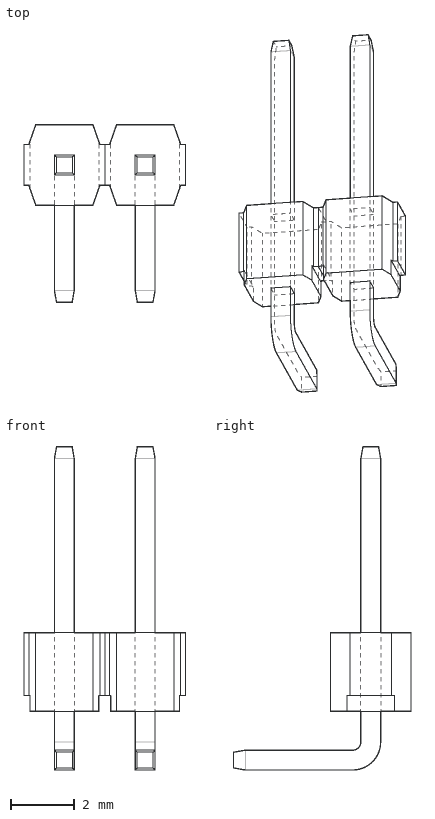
import cadquery as cq

PIN_COUNT = 2
PITCH = 2.54

PIN_WIDTH = 0.63
PIN_TOP = 10.17
PIN_REACH = 4.32
BEND_INNER_RADIUS = 0.25
TIP_LENGTH = 0.38
TIP_WIDTH = 0.5

HOUSING_DEPTH = 2.54
HOUSING_BOTTOM = 1.85
HOUSING_HEIGHT = 2.47
FACE_WIDTH = 1.8
SHOULDER_WIDTH = 2.24
LAND_DEPTH = 1.29
FOOT_WIDTH = 2.17
FOOT_HEIGHT = 0.49

HALF_PIN = PIN_WIDTH / 2
BEND_OUTER_RADIUS = BEND_INNER_RADIUS + PIN_WIDTH


def make_housing(x):
    """Block with sloped corners, side lands stopping above the foot, and a square pin hole."""
    quarter_outline = [
        (FACE_WIDTH / 2, HOUSING_DEPTH / 2),
        (SHOULDER_WIDTH / 2, LAND_DEPTH / 2),
        (PITCH / 2, LAND_DEPTH / 2),
    ]
    right_side = quarter_outline + [(px, -py) for px, py in reversed(quarter_outline)]
    left_side = [(-px, py) for px, py in reversed(right_side)]
    base = cq.Workplane("XY", origin=(x, 0, HOUSING_BOTTOM))
    block = base.polyline(right_side + left_side).close().extrude(HOUSING_HEIGHT)

    foot = base.rect(FOOT_WIDTH, HOUSING_DEPTH).extrude(FOOT_HEIGHT)
    foot_surround = base.rect(PITCH, HOUSING_DEPTH).extrude(FOOT_HEIGHT).cut(foot)
    pin_hole = base.rect(PIN_WIDTH, PIN_WIDTH).extrude(HOUSING_HEIGHT)
    return block.cut(foot_surround).cut(pin_hole)


def make_tip(start_plane):
    """Square taper from the full pin width to the blunt end."""
    start = cq.Workplane(start_plane).rect(PIN_WIDTH, PIN_WIDTH)
    return start.workplane(offset=TIP_LENGTH).rect(TIP_WIDTH, TIP_WIDTH).loft(ruled=True)


def make_pin(x):
    """Square pin with a vertical leg, a rounded bend toward -Y and a tapered tip at each end."""
    upper_tip_start = PIN_TOP - TIP_LENGTH
    lower_tip_start = TIP_LENGTH - PIN_REACH
    bend_end_y = HALF_PIN - BEND_OUTER_RADIUS
    shank = (
        cq.Workplane("YZ", origin=(x, 0, 0))
        .moveTo(HALF_PIN, upper_tip_start)
        .lineTo(HALF_PIN, BEND_OUTER_RADIUS)
        .radiusArc((bend_end_y, 0), BEND_OUTER_RADIUS)
        .lineTo(lower_tip_start, 0)
        .lineTo(lower_tip_start, PIN_WIDTH)
        .lineTo(bend_end_y, PIN_WIDTH)
        .radiusArc((-HALF_PIN, BEND_OUTER_RADIUS), -BEND_INNER_RADIUS)
        .lineTo(-HALF_PIN, upper_tip_start)
        .close()
        .extrude(HALF_PIN, both=True)
    )
    upper_plane = cq.Plane(origin=(x, 0, upper_tip_start), xDir=(1, 0, 0), normal=(0, 0, 1))
    lower_plane = cq.Plane(origin=(x, lower_tip_start, HALF_PIN), xDir=(1, 0, 0), normal=(0, -1, 0))
    return shank.union(make_tip(upper_plane)).union(make_tip(lower_plane))


pin_positions = [(i - (PIN_COUNT - 1) / 2) * PITCH for i in range(PIN_COUNT)]
housings = [make_housing(x).val() for x in pin_positions]
pins = [make_pin(x).val() for x in pin_positions]

result = cq.Compound.makeCompound([solid for body in housings + pins for solid in body.Solids()])